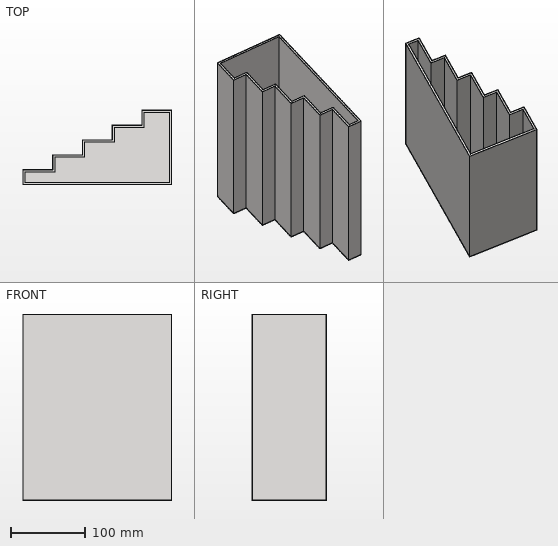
import cadquery as cq

step_count = 5
step_run = 40.0
step_rise = 20.0
height = 250.0
wall = 3.0
floor = wall


def stair_outline(inset):
    """Closed staircase profile climbing toward +X, moved inward by inset on every side."""
    bottom = inset
    right = step_count * step_run - inset
    points = [(right, bottom), (inset, bottom)]
    for step in range(step_count):
        tread = (step + 1) * step_rise - inset
        points.append((step * step_run + inset, tread))
        if step < step_count - 1:
            points.append(((step + 1) * step_run + inset, tread))
    points.append((right, step_count * step_rise - inset))
    return points


def stair_prism(inset, bottom_z, top_z):
    """Staircase profile extruded along Z."""
    return (
        cq.Workplane("XY")
        .workplane(offset=bottom_z)
        .polyline(stair_outline(inset))
        .close()
        .extrude(top_z - bottom_z)
    )


body = stair_prism(0.0, 0.0, height)
cavity = stair_prism(wall, floor, height)

result = body.cut(cavity)